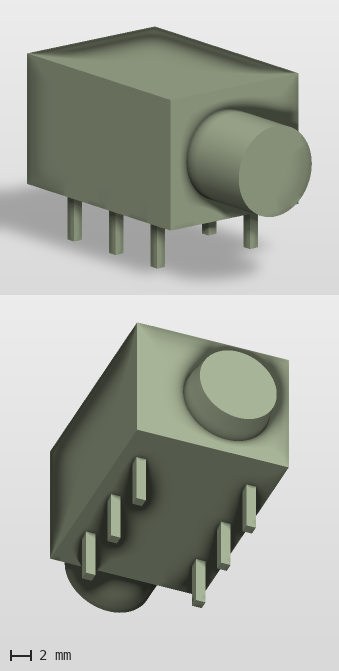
import cadquery as cq

total_length = 33
body_width = 15.75
body_height = 13.0
pin_length = 4.98

barrel_diameter = 9.0
barrel_length = 8.0
nose_base_diameter = barrel_diameter
nose_tip_diameter = 8.0
nose_length = 3.0
axis_from_near_side = 6.47
barrel_drop = 6.5
nose_drop = 7.0

pin_size = 1.0
pin_columns = 3
pin_pitch = 6.37
first_pin_offset = 4.5
row_spacing = 11.42
far_row_offset = 2.05

body_length = total_length - nose_length - barrel_length
axis_y = axis_from_near_side - body_width / 2
far_row_y = body_width / 2 - far_row_offset
pin_rows = (far_row_y, far_row_y - row_spacing)


def make_body():
    return cq.Workplane("XY").box(body_length, body_width, body_height, centered=(False, True, False))


def make_barrel():
    return (
        cq.Workplane("YZ", origin=(body_length, axis_y, body_height - barrel_drop))
        .circle(barrel_diameter / 2)
        .extrude(barrel_length)
    )


def make_nose():
    return (
        cq.Workplane("YZ", origin=(-nose_length, axis_y, body_height - nose_drop))
        .circle(nose_tip_diameter / 2)
        .workplane(offset=nose_length)
        .circle(nose_base_diameter / 2)
        .loft(ruled=True)
    )


def make_pins():
    centres = [
        (first_pin_offset + column * pin_pitch, row_y)
        for column in range(pin_columns)
        for row_y in pin_rows
    ]
    return cq.Workplane("XY").pushPoints(centres).rect(pin_size, pin_size).extrude(-pin_length)


result = make_body().union(make_barrel()).union(make_nose()).union(make_pins())